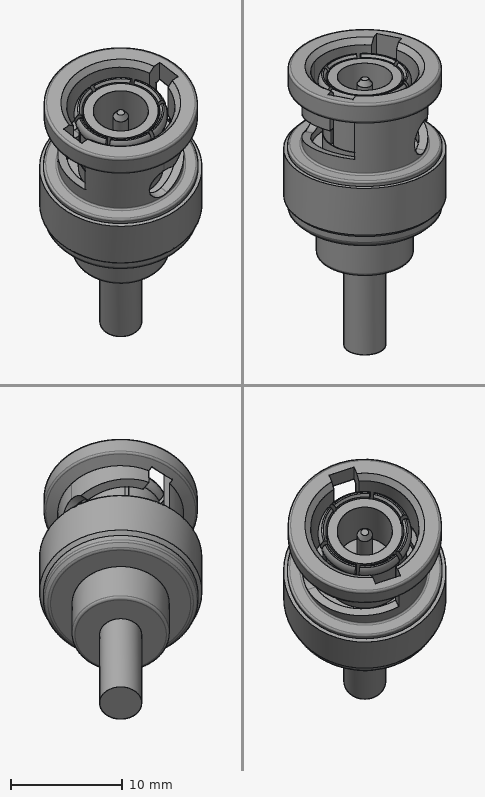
import cadquery as cq
import math


total_height = 28.75
ferrule_bottom = 9.52
nut_bottom = 13.85
band_bottom = 15.12
band_top = 20.3
nut_top = 20.8
barrel_top = 26.4
rim_bottom = 26.8

cable_radius = 1.9
ferrule_radius = 4.37
nut_radius = 6.95
band_radius = 7.3
barrel_radius = 5.65
rim_radius = 6.9

ferrule_edge_fillet = 0.25
nut_top_fillet = 0.2
nut_bottom_chamfer = 0.52
nut_bottom_fillet = 0.35
rim_fillet = 0.23
barrel_root_fillet = 0.17

bore_radius = 4.85
bore_floor = 20.33
bore_chamfer = 0.52

keyway_width = 2.4
keyway_reach = 5.95
latch_height = 22.63
latch_radius = 1.6
ramp_angle = 13.7
ramp_upper_offset = 0.78

contact_radius = 3.77
contact_base_radius = 3.82
contact_inner_radius = 3.5
contact_top = 27.92
lip_inner_radius = 3.75
lip_outer_radius = 3.88
lip_chamfer_depth = 0.23
bulge_radius = 4.2
bulge_height = 27.15
bulge_bottom = 26.42
slit_count = 6
slit_width = 0.37
slit_bottom = 21.96

insulator_radius = 3.35
insulator_bore_radius = 2.47
insulator_top = 27.7
pin_radius = 0.7
pin_tip_radius = 0.35
pin_shoulder = 26.97
pin_top = 27.48


def cylinder(radius, bottom, top):
    return cq.Workplane("XY").workplane(offset=bottom).circle(radius).extrude(top - bottom)


def revolve_profile(profile):
    """Spin a closed (radius, height) profile around the Z axis."""
    return profile.close().revolve(360, (0, 0, 0), (0, 1, 0))


def cable_and_ferrule():
    cable = cylinder(cable_radius, 0, nut_bottom)
    ferrule = cylinder(ferrule_radius, ferrule_bottom, nut_bottom)
    return cable.union(ferrule.edges("<Z").fillet(ferrule_edge_fillet))


def nut():
    widest = cq.selectors.RadiusNthSelector(-1)
    body = cylinder(nut_radius, nut_bottom, nut_top).edges("<Z").chamfer(nut_bottom_chamfer)
    body = body.edges(widest).edges("<Z").fillet(nut_bottom_fillet)
    body = body.edges("<Z").fillet(nut_bottom_fillet)
    body = body.edges(">Z").fillet(nut_top_fillet)
    band = cylinder(band_radius, band_bottom, band_top)
    return body.union(band.edges("<Z").chamfer(band_radius - nut_radius))


def rim():
    """Collar at the mating end, tapering down to the barrel, with rounded outer edges."""
    profile = (
        cq.Workplane("XZ")
        .moveTo(0, barrel_top)
        .lineTo(barrel_radius, barrel_top)
        .lineTo(rim_radius, rim_bottom)
        .lineTo(rim_radius, total_height)
        .lineTo(0, total_height)
    )
    widest = cq.selectors.RadiusNthSelector(-1)
    return revolve_profile(profile).edges(widest).fillet(rim_fillet)


def barrel():
    """Cylinder between nut and rim, with a concave fillet at its root."""
    root_radius = barrel_radius + barrel_root_fillet
    root_top = nut_top + barrel_root_fillet
    arc_step = barrel_root_fillet * math.sqrt(0.5)
    profile = (
        cq.Workplane("XZ")
        .moveTo(0, nut_top)
        .lineTo(root_radius, nut_top)
        .threePointArc((root_radius - arc_step, root_top - arc_step), (barrel_radius, root_top))
        .lineTo(barrel_radius, barrel_top)
        .lineTo(0, barrel_top)
    )
    return revolve_profile(profile)


def socket():
    """Round bore of the sleeve with a lead-in chamfer at the mouth."""
    mouth_radius = bore_radius + bore_chamfer
    profile = (
        cq.Workplane("XZ")
        .moveTo(0, bore_floor)
        .lineTo(bore_radius, bore_floor)
        .lineTo(bore_radius, total_height - bore_chamfer)
        .lineTo(mouth_radius, total_height)
        .lineTo(0, total_height)
    )
    return revolve_profile(profile)


def keyways():
    """Two opposite straight grooves that let the bayonet studs in from the top."""
    slope = math.radians(ramp_angle)
    ramp_start = latch_height - latch_radius / math.cos(slope)
    keyway_bottom = ramp_start + barrel_radius * math.tan(slope)
    return (
        cq.Workplane("XY")
        .workplane(offset=keyway_bottom)
        .rect(keyway_width, 2 * keyway_reach)
        .extrude(total_height - keyway_bottom)
    )


def bayonet_ramp():
    """Sloping window on the -X side, from across the -Y keyway down to the round latch hole."""
    ramp_width = latch_radius + ramp_upper_offset
    ramp_length = band_radius
    cut_depth = band_radius + keyway_width / 2
    side_plane = cq.Workplane("YZ", origin=(-band_radius, 0, latch_height))
    latch_hole = side_plane.circle(latch_radius).extrude(band_radius)
    channel = (
        side_plane
        .transformed(rotate=(0, 0, -ramp_angle))
        .center(-ramp_length / 2, (ramp_upper_offset - latch_radius) / 2)
        .rect(ramp_length, ramp_width)
        .extrude(cut_depth)
    )
    return latch_hole.union(channel)


def coupling_sleeve():
    ramp = bayonet_ramp()
    sleeve = nut().union(barrel()).union(rim())
    sleeve = sleeve.cut(socket()).cut(keyways()).cut(ramp)
    return sleeve.cut(ramp.rotate((0, 0, 0), (0, 0, 1), 180))


def outer_contact():
    """Spring sleeve with a bulged end, split into equal fingers by radial slits."""
    profile = (
        cq.Workplane("XZ")
        .moveTo(contact_inner_radius, slit_bottom)
        .lineTo(contact_radius, slit_bottom)
        .lineTo(contact_radius, bulge_bottom)
        .threePointArc((bulge_radius, bulge_height), (lip_outer_radius, contact_top))
        .lineTo(lip_inner_radius, contact_top)
        .lineTo(contact_inner_radius, contact_top - lip_chamfer_depth)
    )
    fingers = revolve_profile(profile)
    slits = (
        cq.Workplane("XY")
        .workplane(offset=slit_bottom)
        .polarArray(bulge_radius, 0, 360, slit_count)
        .rect(bulge_radius, slit_width)
        .extrude(contact_top - slit_bottom)
    )
    base = cylinder(contact_base_radius, bore_floor, slit_bottom)
    return base.union(fingers.cut(slits))


def insulator_and_pin():
    insulator = cylinder(insulator_radius, slit_bottom, insulator_top)
    insulator = insulator.cut(cylinder(insulator_bore_radius, slit_bottom, insulator_top))
    pin_profile = (
        cq.Workplane("XZ")
        .moveTo(0, slit_bottom)
        .lineTo(pin_radius, slit_bottom)
        .lineTo(pin_radius, pin_shoulder)
        .lineTo(pin_tip_radius, pin_top)
        .lineTo(0, pin_top)
    )
    return insulator.union(revolve_profile(pin_profile))


result = (
    cable_and_ferrule()
    .union(coupling_sleeve())
    .union(outer_contact())
    .union(insulator_and_pin())
)